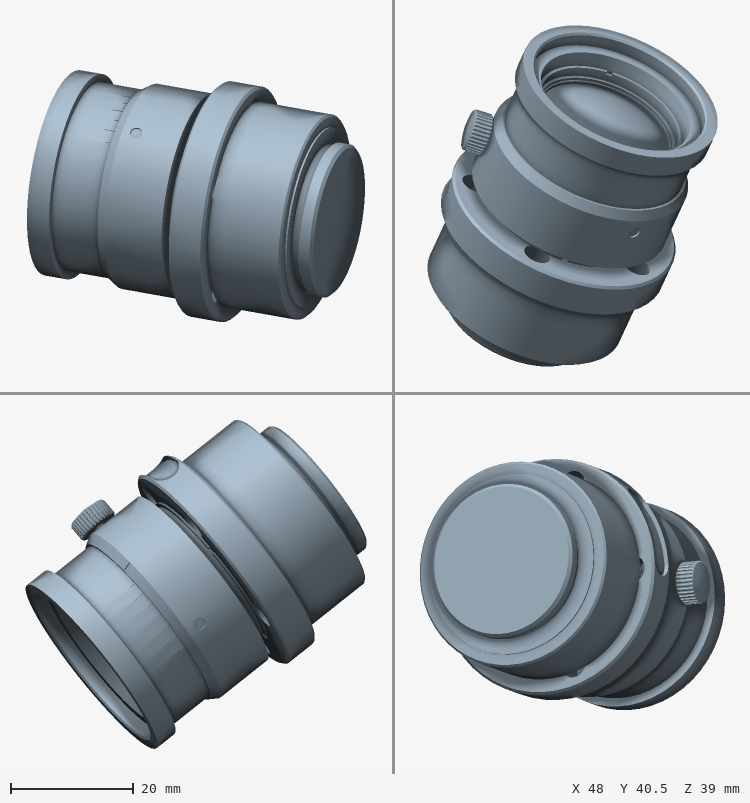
import cadquery as cq
import math


length = 48.0
rim_end = 3.8
ring_start = 11.9
ring_bevel_end = 13.45
ring_end = 23.35
neck_end = 24.0
collar_start = 24.5
lock_ring_start = 25.05
flange_start = 25.4
flange_end = 31.4
rear_body_end = 44.0
rear_step_end = 44.3
mount_start = 45.25

body_radius = 17.0
barrel_radius = 31.3 / 2
ring_bevel_radius = 16.05
neck_radius = 13.15
collar_radius = 13.5
lock_ring_radius = 14.25
flange_radius = 19.5
rear_step_radius = 14.9
mount_neck_radius = 12.15
mount_radius = 12.7

flange_chamfer = 0.4
rear_body_chamfer = 0.35
mount_front_chamfer = 0.55
mount_rear_chamfer = 0.5

mouth_radius = 15.2
thread_radius = 14.85
thread_start = 0.3
thread_end = 2.4
cone_front_radius = 13.0
cone_rear_radius = 12.5
cone_end = 4.8
retainer_radius = 12.0
retainer_end = 6.5
bezel_radius = 11.5
bezel_end = 7.0
lens_radius = 11.2
lens_edge = 7.6
lens_apex = 4.9

spanner_slot_width = 1.0
retainer_slot_depth = 0.5

screw_station = 15.83
pin_hole_radius = 2.05 / 2
pin_hole_depth = 0.3
pin_hole_angles = (120, 240)
shank_radius = 1.0
knob_radius = 3.5
knob_base = 17.4
knob_rim = 20.5
knob_top = 21.0
knob_chamfer = 0.25
knob_root = 0.25
knurl_count = 32
knurl_groove_radius = 0.25

flange_hole_count = 5
flange_hole_radius = 4.5 / 2
flange_hole_circle = 15.6
rim_slot_width = 5.0
rim_slot_low_center = 1.5
rim_slot_high_center = 11.5
rim_slot_floor = 18.8

tick_count = 7
tick_pitch = 8.15
tick_first = -12.0
tick_width = 0.2
tick_depth = 0.1
tick_cutter_height = 1.0
tick_short = 1.0
tick_long = 2.0
index_angle = -22.6


def at_angle(shape, degrees):
    """Turn a shape about the optical axis."""
    return shape.rotate((0, 0, 0), (1, 0, 0), degrees)


def ring(start, end, outer, inner):
    """Washer about the optical axis."""
    return cq.Workplane("YZ", origin=(start, 0, 0)).circle(outer).circle(inner).extrude(end - start)


def make_body():
    """Revolve the outside steps, the stepped front opening and the domed lens."""
    sag = lens_edge - lens_apex
    sphere_radius = (lens_radius**2 + sag**2) / (2 * sag)
    mid_radius = lens_radius / 2
    mid_station = lens_apex + sphere_radius - math.sqrt(sphere_radius**2 - mid_radius**2)
    profile = (
        cq.Workplane("XY")
        .moveTo(lens_apex, 0)
        .threePointArc((mid_station, mid_radius), (lens_edge, lens_radius))
        .lineTo(bezel_end, lens_radius)
        .lineTo(bezel_end, bezel_radius)
        .lineTo(retainer_end, bezel_radius)
        .lineTo(retainer_end, retainer_radius)
        .lineTo(cone_end, retainer_radius)
        .lineTo(cone_end, cone_rear_radius)
        .lineTo(thread_end, cone_front_radius)
        .lineTo(thread_end, thread_radius)
        .lineTo(thread_start, thread_radius)
        .lineTo(0, mouth_radius)
        .lineTo(0, body_radius)
        .lineTo(rim_end, body_radius)
        .lineTo(rim_end, barrel_radius)
        .lineTo(ring_start, barrel_radius)
        .lineTo(ring_start, ring_bevel_radius)
        .lineTo(ring_bevel_end, body_radius)
        .lineTo(ring_end, body_radius)
        .lineTo(ring_end, neck_radius)
        .lineTo(neck_end, neck_radius)
        .lineTo(collar_start, collar_radius)
        .lineTo(lock_ring_start, collar_radius)
        .lineTo(lock_ring_start, lock_ring_radius)
        .lineTo(flange_start, lock_ring_radius)
        .lineTo(flange_start, flange_radius - flange_chamfer)
        .lineTo(flange_start + flange_chamfer, flange_radius)
        .lineTo(flange_end - flange_chamfer, flange_radius)
        .lineTo(flange_end, flange_radius - flange_chamfer)
        .lineTo(flange_end, body_radius)
        .lineTo(rear_body_end - rear_body_chamfer, body_radius)
        .lineTo(rear_body_end, body_radius - rear_body_chamfer)
        .lineTo(rear_body_end, rear_step_radius)
        .lineTo(rear_step_end, rear_step_radius)
        .lineTo(rear_step_end, mount_neck_radius)
        .lineTo(mount_start, mount_neck_radius)
        .lineTo(mount_start + mount_front_chamfer, mount_radius)
        .lineTo(length - mount_rear_chamfer, mount_radius)
        .lineTo(length, mount_radius - mount_rear_chamfer)
        .lineTo(length, 0)
        .close()
    )
    return profile.revolve(360, (0, 0, 0), (1, 0, 0))


def make_slot_pair(start, end, outer, inner):
    """Two opposite slots through a ring, on the +Z and -Z sides."""
    bar = cq.Workplane("YZ", origin=(start, 0, 0)).rect(spanner_slot_width, 2 * outer).extrude(end - start)
    return bar.intersect(ring(start, end, outer, inner))


def make_spanner_slots():
    """Slots in the front retainer and in the lock ring ahead of the flange."""
    retainer_slots = make_slot_pair(
        cone_end, cone_end + retainer_slot_depth, cone_rear_radius, bezel_radius
    )
    lock_slots = make_slot_pair(lock_ring_start, flange_start, flange_radius, collar_radius)
    return retainer_slots.union(lock_slots).union(at_angle(lock_slots, 90))


def make_pin_hole(degrees):
    """Shallow radial hole in the aperture ring, measured from +Y about the axis."""
    floor = body_radius - pin_hole_depth
    hole = cq.Workplane("XZ", origin=(screw_station, floor, 0)).circle(pin_hole_radius).extrude(-body_radius)
    return at_angle(hole, degrees)


def make_flange_holes():
    """Axial holes through the flange thickness, partly covered by the body at both faces."""
    positions = cq.Workplane("YZ", origin=(flange_start, 0, 0)).polarArray(
        flange_hole_circle, 0, 360, flange_hole_count
    )
    return positions.circle(flange_hole_radius).extrude(flange_end - flange_start)


def make_rim_slot():
    """Round-ended slot in the +Y side of the flange rim, running up from mid height."""
    station = (flange_start + flange_end) / 2
    band = ring(flange_start, flange_end, 2 * flange_radius, rim_slot_floor)
    middle = (rim_slot_low_center + rim_slot_high_center) / 2
    travel = rim_slot_high_center - rim_slot_low_center
    outline = cq.Workplane("XZ", origin=(station, 0, middle))
    slot = outline.slot2D(travel + rim_slot_width, rim_slot_width, 90).extrude(-2 * flange_radius)
    return band.intersect(slot)


def make_tick(end, tick_length, radius, degrees):
    """Shallow line along X, measured from +Z about the axis."""
    tick = cq.Workplane("XY", origin=(0, 0, radius - tick_depth)).box(
        tick_length, tick_width, tick_cutter_height, centered=(False, True, False)
    )
    return at_angle(tick.translate((end - tick_length, 0, 0)), degrees)


def make_scale():
    """Alternating short and long ticks on the barrel and the index line on the ring bevel."""
    bevel_length = ring_bevel_end - ring_start
    marks = make_tick(ring_bevel_end, bevel_length, ring_bevel_radius, index_angle)
    for i in range(tick_count):
        tick_length = tick_short if i % 2 == 0 else tick_long
        marks = marks.union(make_tick(ring_start, tick_length, barrel_radius, tick_first + i * tick_pitch))
    return marks


def make_thumb_screw():
    """Knurled, domed knob on a thin shank that stands on the +Y side."""
    dome_radius = knob_radius - knob_root
    rise = knob_top - knob_rim
    sphere_radius = (dome_radius**2 + rise**2) / (2 * rise)
    mid_radius = dome_radius / 2
    mid_height = knob_top - sphere_radius + math.sqrt(sphere_radius**2 - mid_radius**2)
    screw = (
        cq.Workplane("XY")
        .moveTo(0, ring_bevel_radius)
        .lineTo(shank_radius, ring_bevel_radius)
        .lineTo(shank_radius, knob_base)
        .lineTo(knob_radius - knob_chamfer, knob_base)
        .lineTo(knob_radius, knob_base + knob_chamfer)
        .lineTo(knob_radius, knob_rim - knob_chamfer)
        .lineTo(dome_radius, knob_rim)
        .threePointArc((mid_radius, mid_height), (0, knob_top))
        .close()
        .revolve(360, (0, 0, 0), (0, 1, 0))
    )
    knurls = (
        cq.Workplane("XZ", origin=(0, knob_base, 0))
        .polarArray(knob_radius, 0, 360, knurl_count)
        .circle(knurl_groove_radius)
        .extrude(knob_base - knob_top)
    )
    return screw.cut(knurls).translate((screw_station, 0, 0))


result = make_body()
result = result.cut(make_spanner_slots())
for pin_angle in pin_hole_angles:
    result = result.cut(make_pin_hole(pin_angle))
result = result.cut(make_flange_holes())
result = result.cut(make_rim_slot())
result = result.cut(make_scale())
result = result.union(make_thumb_screw())